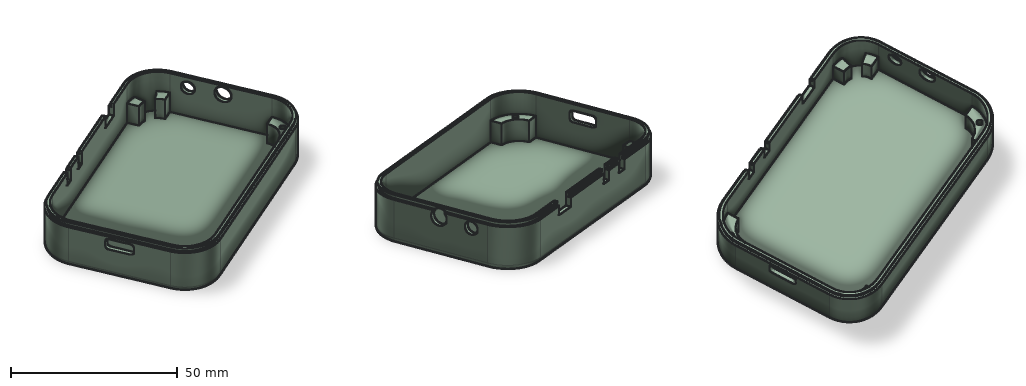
import cadquery as cq
import math

LENGTH_X = 56.0
LENGTH_Y = 83.5
HEIGHT = 16.0
CORNER_RADIUS = 11.5
WALL = 1.7
FLOOR = 1.6
BOTTOM_FILLET = 1.9

LIP_HEIGHT = 1.3
LIP_BASE_INSET = 0.9
LIP_TOP_INSET = 0.6
SHOULDER_Z = HEIGHT - LIP_HEIGHT

POST_HEIGHT = 7.2
POST_INNER_RADIUS = 6.0
POST_TOP_Z = FLOOR + POST_HEIGHT
CORNER_X = LENGTH_X / 2 - CORNER_RADIUS
CORNER_Y = LENGTH_Y / 2 - CORNER_RADIUS
SCREW_DIAMETER = 1.8
SCREW_X = 21.5
SCREW_Y = 36.4

GAP_APEX_OFFSET = 2.1
GAP_EDGE_ANGLE = 15.0
GAP_REACH = 12.5

PORT_WIDTH = 9.3
PORT_HEIGHT = 3.8
PORT_CENTER_Z = 11.85
PORT_CORNER_RADIUS = 1.2

ROUND_OPENINGS = [(5.4, 0.7, 12.8), (4.4, -10.7, 12.1)]

NOTCHES = [(16.1, 6.7, 11.6), (-7.8, 3.0, 11.35), (-16.6, 3.0, 11.35)]

CLEARANCE = 0.8


def rounded_outline(inset, z):
    """Rounded rectangle, inset from the outside wall, at height z."""
    return (
        cq.Sketch()
        .rect(LENGTH_X - 2 * inset, LENGTH_Y - 2 * inset)
        .vertices()
        .fillet(CORNER_RADIUS - inset)
        .moved(cq.Location(cq.Vector(0, 0, z)))
    )


def rounded_block(inset, bottom_z, top_z):
    return cq.Workplane().placeSketch(rounded_outline(inset, bottom_z)).extrude(top_z - bottom_z)


def make_shell():
    body = rounded_block(0, 0, SHOULDER_Z).faces("<Z").edges().fillet(BOTTOM_FILLET)
    lip = (
        cq.Workplane()
        .placeSketch(rounded_outline(LIP_BASE_INSET, SHOULDER_Z), rounded_outline(LIP_TOP_INSET, HEIGHT))
        .loft(ruled=True)
    )
    cavity = rounded_block(WALL, FLOOR, HEIGHT + CLEARANCE)
    return body.union(lip).cut(cavity)


def make_post(side_x, side_y):
    """Quarter ring that fills the rounded corner of the cavity."""
    center_x = side_x * CORNER_X
    center_y = side_y * CORNER_Y
    quadrant = (
        cq.Workplane()
        .box(CORNER_RADIUS, CORNER_RADIUS, POST_TOP_Z, centered=(True, True, False))
        .translate((center_x + side_x * CORNER_RADIUS / 2, center_y + side_y * CORNER_RADIUS / 2, 0))
    )
    core = cq.Workplane().center(center_x, center_y).circle(POST_INNER_RADIUS).extrude(POST_TOP_Z)
    filled_corner = rounded_block(WALL / 2, FLOOR / 2, POST_TOP_Z)
    return quadrant.intersect(filled_corner).cut(core)


def make_screw_hole(side_x, side_y):
    return (
        cq.Workplane()
        .workplane(offset=FLOOR)
        .center(side_x * SCREW_X, side_y * SCREW_Y)
        .circle(SCREW_DIAMETER / 2)
        .extrude(POST_HEIGHT + CLEARANCE)
    )


def make_post_gap():
    """Wedge opening towards the -X, +Y corner, limited to the cavity."""
    apex_x = -CORNER_X - GAP_APEX_OFFSET
    apex_y = CORNER_Y + GAP_APEX_OFFSET
    long_leg = GAP_REACH * math.cos(math.radians(GAP_EDGE_ANGLE))
    short_leg = GAP_REACH * math.sin(math.radians(GAP_EDGE_ANGLE))
    wedge = (
        cq.Workplane()
        .polyline([
            (apex_x, apex_y),
            (apex_x - short_leg, apex_y + long_leg),
            (apex_x - long_leg, apex_y + short_leg),
        ])
        .close()
        .extrude(HEIGHT)
    )
    return wedge.intersect(rounded_block(WALL, FLOOR, HEIGHT))


def make_port():
    depth = WALL + 2 * CLEARANCE
    return (
        cq.Workplane()
        .box(PORT_WIDTH, depth, PORT_HEIGHT)
        .edges("|Y")
        .fillet(PORT_CORNER_RADIUS)
        .translate((0, (WALL - LENGTH_Y) / 2, PORT_CENTER_Z))
    )


def make_round_opening(diameter, x, z):
    return (
        cq.Workplane("XZ", origin=(x, LENGTH_Y / 2 + CLEARANCE, z))
        .circle(diameter / 2)
        .extrude(WALL + 2 * CLEARANCE)
    )


def make_notch(center_y, width, bottom_z):
    depth = WALL + 2 * CLEARANCE
    height = HEIGHT + CLEARANCE - bottom_z
    return (
        cq.Workplane()
        .box(depth, width, height, centered=(True, True, False))
        .translate(((WALL - LENGTH_X) / 2, center_y, bottom_z))
    )


result = make_shell()

for side_x in (-1, 1):
    for side_y in (-1, 1):
        result = result.union(make_post(side_x, side_y))

for side_x, side_y in [(-1, -1), (1, -1), (1, 1)]:
    result = result.cut(make_screw_hole(side_x, side_y))

result = result.cut(make_post_gap()).cut(make_port())

for diameter, x, z in ROUND_OPENINGS:
    result = result.cut(make_round_opening(diameter, x, z))

for center_y, width, bottom_z in NOTCHES:
    result = result.cut(make_notch(center_y, width, bottom_z))